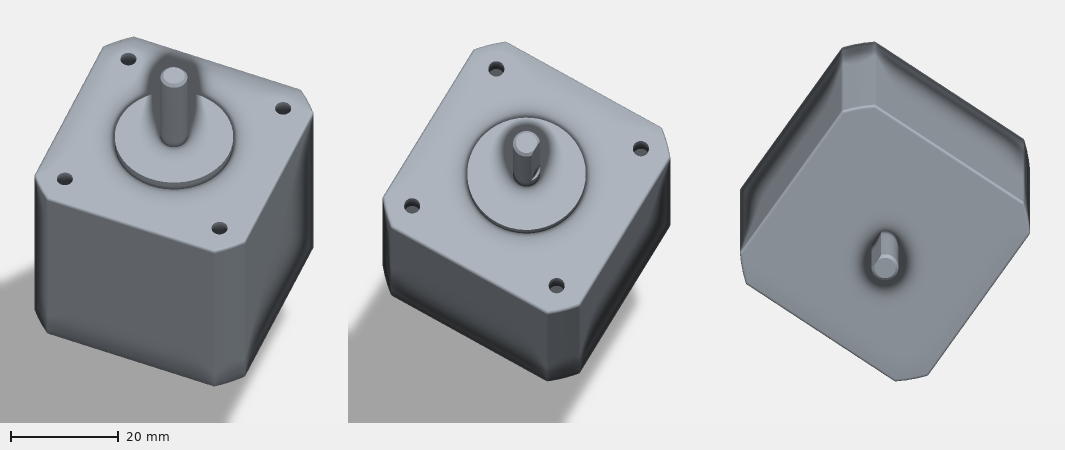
import cadquery as cq
import math

body_width = 42.3
body_height = 39.8
corner_cut = 4.4
edge_round = 0.5
corner_blend = 0.7

boss_diameter = 22.0
boss_height = 2.0
hole_diameter = 3.0
hole_spacing = 31.05
hole_depth = 4.5

shaft_diameter = 5.0
shaft_above = 20.0
shaft_below = 15.0
shaft_chamfer = 0.5
flat_depth = 0.56
round_collar_height = 3.0

half_width = body_width / 2
corner_start = half_width - corner_cut
corner_radius = math.hypot(half_width, corner_start)


def make_body():
    """Square block with corners turned on the motor axis and softened edges."""
    square = cq.Workplane("XY").rect(body_width, body_width).extrude(body_height)
    cylinder = cq.Workplane("XY").circle(corner_radius).extrude(body_height)
    block = square.intersect(cylinder)
    return block.edges("|Z").fillet(corner_blend).faces("<Z or >Z").edges().fillet(edge_round)


def make_boss():
    return cq.Workplane("XY", origin=(0, 0, body_height)).circle(boss_diameter / 2).extrude(boss_height)


def make_flat_cutter(bottom, top):
    """Block that mills the flat on the +Y side of the shaft."""
    flat_y = shaft_diameter / 2 - flat_depth
    return (
        cq.Workplane("XY", origin=(0, flat_y, bottom))
        .box(shaft_diameter, shaft_diameter, top - bottom, centered=(True, False, False))
    )


def make_shaft():
    """Chamfered shaft, with a flat on the upper and the lower end."""
    bottom = -shaft_below
    top = body_height + shaft_above
    collar_top = body_height + boss_height + round_collar_height
    shaft = (
        cq.Workplane("XY", origin=(0, 0, bottom))
        .circle(shaft_diameter / 2)
        .extrude(top - bottom)
        .faces("<Z or >Z")
        .chamfer(shaft_chamfer)
    )
    return shaft.cut(make_flat_cutter(collar_top, top)).cut(make_flat_cutter(bottom, 0))


def make_mounting_holes():
    return (
        cq.Workplane("XY", origin=(0, 0, body_height))
        .rect(hole_spacing, hole_spacing, forConstruction=True)
        .vertices()
        .circle(hole_diameter / 2)
        .extrude(-hole_depth)
    )


result = make_body().union(make_boss()).union(make_shaft()).cut(make_mounting_holes())